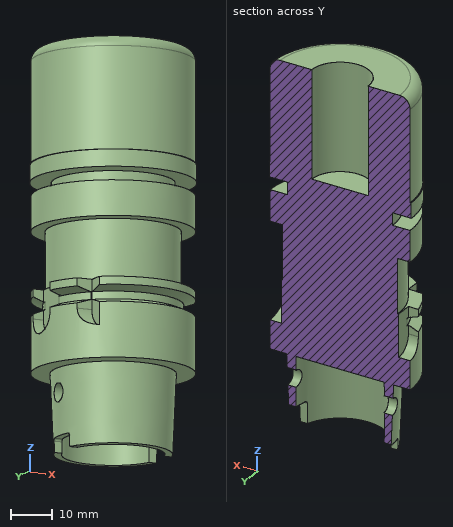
import cadquery as cq
import math

total_height = 100.0
shank_height = 20.0
flange_top = 40.0
gripper_lower_rim = 33.8
gripper_core_bottom = 35.0
gripper_core_top = 36.9
gripper_upper_rim = 38.0
collar_bottom = 55.0
collar_top = 63.8
ring_bottom = 67.1
ring_top = 71.4

body_radius = 20.0
ring_radius = 20.25
upper_neck_radius = 15.0
lower_neck_radius = 16.5
gripper_core_radius = 17.1
shank_end_radius = 14.45
shank_top_radius = 15.3
nut_edge_fillet = 3.0

tool_bore_radius = 8.0
tool_bore_depth = 30.0
shank_bore_radius = 12.5
cross_hole_radius = 2.3
cross_hole_height = 14.0

slot_bottom = 28.1
slot_floor_offset = 16.7
narrow_slot_radius = 4.4
wide_slot_radius = 5.5
corner_notch_offset = 12.0

shank_notch_width = 8.0
near_notch_height = 3.4
far_notch_height = 6.2
notch_corner_radius = 0.6

cutter_overrun = 10.0


def turned_body():
    fillet_middle = nut_edge_fillet * math.sqrt(0.5)
    fillet_center_radius = body_radius - nut_edge_fillet
    fillet_center_height = total_height - nut_edge_fillet
    profile = (
        cq.Workplane("XZ")
        .lineTo(shank_end_radius, 0)
        .lineTo(shank_top_radius, shank_height)
        .lineTo(body_radius, shank_height)
        .lineTo(body_radius, gripper_lower_rim)
        .lineTo(gripper_core_radius, gripper_core_bottom)
        .lineTo(gripper_core_radius, gripper_core_top)
        .lineTo(body_radius, gripper_upper_rim)
        .lineTo(body_radius, flange_top)
        .lineTo(lower_neck_radius, flange_top)
        .lineTo(lower_neck_radius, collar_bottom)
        .lineTo(body_radius, collar_bottom)
        .lineTo(body_radius, collar_top)
        .lineTo(upper_neck_radius, collar_top)
        .lineTo(upper_neck_radius, ring_bottom)
        .lineTo(ring_radius, ring_bottom)
        .lineTo(ring_radius, ring_top)
        .lineTo(body_radius, ring_top)
        .lineTo(body_radius, fillet_center_height)
        .threePointArc(
            (fillet_center_radius + fillet_middle, fillet_center_height + fillet_middle),
            (fillet_center_radius, total_height),
        )
        .lineTo(0, total_height)
        .close()
    )
    return profile.revolve(360, (0, 0, 0), (0, 1, 0))


def round_bottom_slot(radius, center_y, inner_x):
    """Slot open at the flange top, running outward along +X from inner_x."""
    center_height = slot_bottom + radius
    return (
        cq.Workplane("YZ", origin=(inner_x, 0, 0))
        .moveTo(center_y - radius, flange_top)
        .lineTo(center_y - radius, center_height)
        .threePointArc((center_y, slot_bottom), (center_y + radius, center_height))
        .lineTo(center_y + radius, flange_top)
        .close()
        .extrude(cutter_overrun)
    )


def shank_notch(height, side):
    """Notch through one shank wall, on the +X (side=1) or -X (side=-1) side."""
    length = shank_end_radius + cutter_overrun
    return (
        cq.Workplane("XY")
        .box(length, shank_notch_width, height, centered=(True, True, False))
        .edges("|X and >Z")
        .fillet(notch_corner_radius)
        .translate((side * length / 2, 0, 0))
    )


body = turned_body()

body = body.cut(
    cq.Workplane("XY", origin=(0, 0, total_height - tool_bore_depth))
    .circle(tool_bore_radius)
    .extrude(tool_bore_depth)
)
body = body.cut(cq.Workplane("XY").circle(shank_bore_radius).extrude(shank_height))

body = body.cut(
    cq.Workplane("YZ")
    .center(0, cross_hole_height)
    .circle(cross_hole_radius)
    .extrude(body_radius, both=True)
)

half_turn = ((0, 0, 0), (0, 0, 1), 180)
body = body.cut(round_bottom_slot(wide_slot_radius, 0, slot_floor_offset))
body = body.cut(round_bottom_slot(narrow_slot_radius, 0, slot_floor_offset).rotate(*half_turn))

corner_center = corner_notch_offset + narrow_slot_radius
corner_cutter = round_bottom_slot(narrow_slot_radius, corner_center, corner_notch_offset)
body = body.cut(corner_cutter.rotate(*half_turn))

body = body.cut(shank_notch(near_notch_height, -1))
body = body.cut(shank_notch(far_notch_height, 1))

result = body